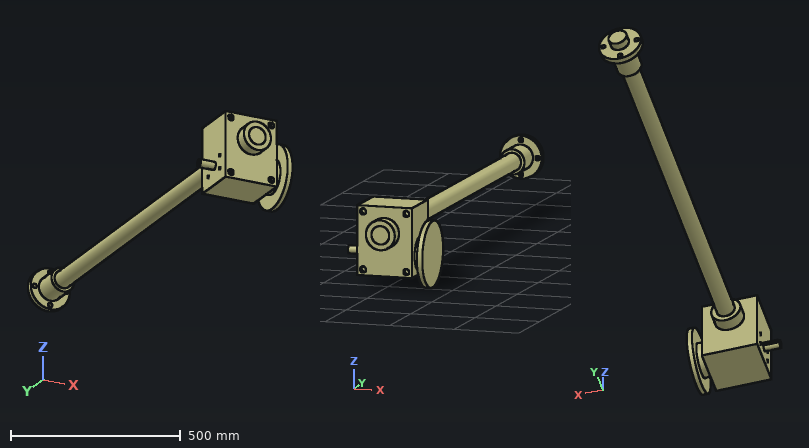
import cadquery as cq

TOTAL_LENGTH = 1380.0

BOX_X = 170.0
BOX_Y = 150.0
BOX_Z = 210.0
SCREW_BELOW_TOP = 79.0
WORM_BELOW_TOP = 148.4
COLLAR_DIAMETER = 90.0
COLLAR_LENGTH = 40.0

CORNER_INSET = 18.0
CORNER_HOLE_DIAMETER = 18.0
CORNER_HOLE_DEPTH = 14.0
CORNER_TIP_DEPTH = 5.0

SIDE_HOLE_DIAMETER = 8.4
SIDE_HOLE_DEPTH = 14.0
SIDE_HOLE_SPACING_Y = 75.0
SIDE_HOLE_SPACING_Z = 41.0

SHAFT_DIAMETER = 25.0
SHAFT_LENGTH = 50.0
CENTRE_HOLE_DIAMETER = 8.4
CENTRE_HOLE_DEPTH = 14.0
KEY_WIDTH = 8.0
KEY_HEIGHT = 3.0
KEY_SETBACK = 5.0

MOTOR_FLANGE_DIAMETER = 200.0
MOTOR_FLANGE_THICKNESS = 17.0
MOTOR_NECK_BOX_DIAMETER = 101.0
MOTOR_NECK_FLANGE_DIAMETER = 106.0
MOTOR_NECK_LENGTH = 23.0

SCREW_DIAMETER = 55.0

NUT_OVERHANG = 26.0
NUT_FLANGE_DIAMETER = 130.0
NUT_FLANGE_THICKNESS = 20.0
NUT_SLEEVE_DIAMETER = 76.0
NUT_SLEEVE_LENGTH = 81.0
NUT_HOLE_DIAMETER = 13.0
NUT_HOLE_CIRCLE = (NUT_FLANGE_DIAMETER + NUT_SLEEVE_DIAMETER) / 2
NUT_HOLE_COUNT = 4

BOX_LEFT_X = -BOX_X / 2
BOX_RIGHT_X = BOX_X / 2
BOX_FRONT_Y = -BOX_Y / 2
BOX_CENTRE_Z = SCREW_BELOW_TOP - BOX_Z / 2
WORM_Z = SCREW_BELOW_TOP - WORM_BELOW_TOP
SCREW_START_Y = BOX_FRONT_Y - COLLAR_LENGTH
SCREW_END_Y = SCREW_START_Y + TOTAL_LENGTH
SHAFT_END_X = BOX_LEFT_X - SHAFT_LENGTH


def rod_along_y(diameter, start_y, length, x=0, z=0):
    """Cylinder that starts at start_y and runs toward +Y."""
    return cq.Workplane("XZ", origin=(x, start_y, z)).circle(diameter / 2).extrude(-length)


def rod_along_x(diameter, start_x, length, y=0, z=WORM_Z):
    """Cylinder that starts at start_x and runs toward +X."""
    return cq.Workplane("YZ", origin=(start_x, y, z)).circle(diameter / 2).extrude(length)


def cone(start_diameter, end_diameter, length, start, direction):
    """Cone or truncated cone that runs from start along direction."""
    solid = cq.Solid.makeCone(
        start_diameter / 2, end_diameter / 2, length, cq.Vector(*start), cq.Vector(*direction)
    )
    return cq.Workplane(solid)


def corner_hole(x, z):
    """Blind hole in the -Y face of the housing, with a conical drill tip."""
    tip_y = BOX_FRONT_Y + CORNER_HOLE_DEPTH
    tip = cone(CORNER_HOLE_DIAMETER, 0, CORNER_TIP_DEPTH, (x, tip_y, z), (0, 1, 0))
    return rod_along_y(CORNER_HOLE_DIAMETER, BOX_FRONT_Y, CORNER_HOLE_DEPTH, x, z).union(tip)


def make_housing():
    body = cq.Workplane("XY").box(BOX_X, BOX_Y, BOX_Z).translate((0, 0, BOX_CENTRE_Z))

    through_length = BOX_Y + 2 * COLLAR_LENGTH
    body = body.union(rod_along_y(COLLAR_DIAMETER, SCREW_START_Y, through_length))
    body = body.cut(rod_along_y(SCREW_DIAMETER, SCREW_START_Y, through_length))

    for side_x in (-1, 1):
        for side_z in (-1, 1):
            x = side_x * (BOX_X / 2 - CORNER_INSET)
            z = BOX_CENTRE_Z + side_z * (BOX_Z / 2 - CORNER_INSET)
            body = body.cut(corner_hole(x, z))

    for side_y in (-1, 1):
        for side_z in (-1, 1):
            y = side_y * SIDE_HOLE_SPACING_Y / 2
            z = WORM_Z + side_z * SIDE_HOLE_SPACING_Z / 2
            body = body.cut(rod_along_x(SIDE_HOLE_DIAMETER, BOX_LEFT_X, SIDE_HOLE_DEPTH, y, z))
    return body


def make_worm_shaft():
    shaft = rod_along_x(SHAFT_DIAMETER, SHAFT_END_X, SHAFT_LENGTH)

    key = (
        cq.Workplane("XY", origin=(SHAFT_END_X + KEY_SETBACK, 0, WORM_Z))
        .box(
            SHAFT_LENGTH - KEY_SETBACK,
            SHAFT_DIAMETER / 2 + KEY_HEIGHT,
            KEY_WIDTH,
            centered=(False, False, True),
        )
    )
    centre_hole = rod_along_x(CENTRE_HOLE_DIAMETER, SHAFT_END_X, CENTRE_HOLE_DEPTH)
    return shaft.union(key).cut(centre_hole)


def make_motor_flange():
    neck = cone(
        MOTOR_NECK_BOX_DIAMETER,
        MOTOR_NECK_FLANGE_DIAMETER,
        MOTOR_NECK_LENGTH,
        (BOX_RIGHT_X, 0, WORM_Z),
        (1, 0, 0),
    )
    disc_start_x = BOX_RIGHT_X + MOTOR_NECK_LENGTH
    disc = rod_along_x(MOTOR_FLANGE_DIAMETER, disc_start_x, MOTOR_FLANGE_THICKNESS)
    return neck.union(disc)


def make_screw():
    return rod_along_y(SCREW_DIAMETER, SCREW_START_Y, TOTAL_LENGTH)


def make_nut():
    flange_end_y = SCREW_END_Y - NUT_OVERHANG
    flange_start_y = flange_end_y - NUT_FLANGE_THICKNESS
    sleeve_start_y = flange_start_y - NUT_SLEEVE_LENGTH
    flange = rod_along_y(NUT_FLANGE_DIAMETER, flange_start_y, NUT_FLANGE_THICKNESS)
    sleeve = rod_along_y(NUT_SLEEVE_DIAMETER, sleeve_start_y, NUT_SLEEVE_LENGTH)
    bore = rod_along_y(SCREW_DIAMETER, sleeve_start_y, flange_end_y - sleeve_start_y)
    bolt_holes = (
        cq.Workplane("XZ", origin=(0, flange_start_y, 0))
        .polarArray(NUT_HOLE_CIRCLE / 2, 0, 360, NUT_HOLE_COUNT)
        .circle(NUT_HOLE_DIAMETER / 2)
        .extrude(-NUT_FLANGE_THICKNESS)
    )
    return flange.union(sleeve).cut(bore).cut(bolt_holes)


housing = make_housing()
worm_shaft = make_worm_shaft()
motor_flange = make_motor_flange()
screw = make_screw()
nut = make_nut()

result = cq.Compound.makeCompound(
    [housing.val(), worm_shaft.val(), motor_flange.val(), screw.val(), nut.val()]
)